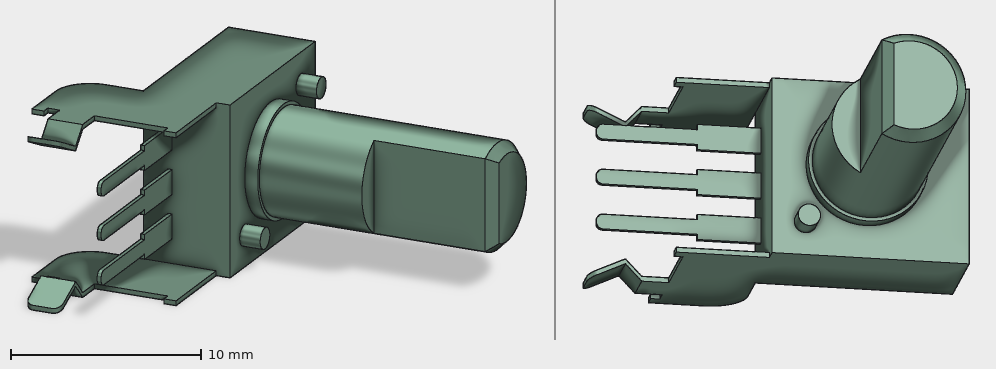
import cadquery as cq

HOUSING_DEPTH = 5.04
HOUSING_LENGTH = 10.53
HOUSING_HEIGHT = 9.7
BOTTOM_Y = -HOUSING_LENGTH / 2
OVERALL_LENGTH = 19.3
TIP_Y = HOUSING_LENGTH / 2 - OVERALL_LENGTH

SHAFT_Y = -0.25
SHAFT_Z = 0.14
SHAFT_DIAMETER = 6.0
SHAFT_REACH = 13.72
TIP_CHAMFER = 0.55
FLAT_LENGTH = 7.0
FLAT_OFFSET = 1.49
COLLAR_DIAMETER = 6.4
COLLAR_LENGTH = 0.75
PIN_DIAMETER = 1.2
PIN_LENGTH = 1.2
PIN_Y = 3.48
PIN_Z = 3.05

SHEET = 0.27
OVERALL_WIDTH = 22.9
PLATE_LEFT = SHAFT_REACH - OVERALL_WIDTH
PLATE_RIGHT = -0.8
PLATE_CORNER = 2.0
PLATE_DROP = 4.49
FOOT_DROP = 0.48
FOOT_WIDTH = 0.7
TAB_OFFSET = 1.4
TAB_WIDTH = 2.02
BEND_START = 5.93
BEND_VALLEY = 6.8
BEND_DEPTH = 0.92
TAB_CORNER = 0.45

TERMINAL_COUNT = 3
TERMINAL_PITCH = 2.5
TERMINAL_X = -3.48
TERMINAL_THICKNESS = 0.23
WIDE_LENGTH = 3.4
WIDE_WIDTH = 1.4
NARROW_WIDTH = 0.82
TERMINAL_CORNER = 0.35


def rod(diameter, length, y, z):
    """Cylinder standing on the mounting face."""
    return cq.Workplane("YZ").center(y, z).circle(diameter / 2).extrude(length)


def make_housing():
    return cq.Workplane("XY").box(HOUSING_DEPTH, HOUSING_LENGTH, HOUSING_HEIGHT).translate(
        (-HOUSING_DEPTH / 2, 0, 0)
    )


def make_shaft():
    shaft = rod(SHAFT_DIAMETER, SHAFT_REACH, SHAFT_Y, SHAFT_Z)
    flat_cut = (
        cq.Workplane("XY")
        .box(FLAT_LENGTH, SHAFT_DIAMETER, SHAFT_DIAMETER)
        .translate(
            (
                SHAFT_REACH - FLAT_LENGTH / 2,
                SHAFT_Y - FLAT_OFFSET - SHAFT_DIAMETER / 2,
                SHAFT_Z,
            )
        )
    )
    return shaft.cut(flat_cut).faces(">X").chamfer(TIP_CHAMFER)


def make_upper_plate():
    plate_edge = BOTTOM_Y - PLATE_DROP
    foot_edge = plate_edge - FOOT_DROP
    top = HOUSING_HEIGHT / 2
    tab_left = PLATE_LEFT + TAB_OFFSET
    tab_center = tab_left + TAB_WIDTH / 2

    plate = (
        cq.Workplane("XY", origin=(0, 0, top - SHEET))
        .moveTo(PLATE_LEFT, foot_edge)
        .lineTo(PLATE_LEFT, BOTTOM_Y - PLATE_CORNER)
        .radiusArc((PLATE_LEFT + PLATE_CORNER, BOTTOM_Y), PLATE_CORNER)
        .lineTo(PLATE_RIGHT, BOTTOM_Y)
        .lineTo(PLATE_RIGHT, foot_edge)
        .lineTo(PLATE_RIGHT - FOOT_WIDTH, foot_edge)
        .lineTo(PLATE_RIGHT - FOOT_WIDTH, plate_edge)
        .lineTo(PLATE_LEFT + FOOT_WIDTH, plate_edge)
        .lineTo(PLATE_LEFT + FOOT_WIDTH, foot_edge)
        .close()
        .extrude(SHEET)
    )

    bend_y = BOTTOM_Y - BEND_START
    valley_y = BOTTOM_Y - BEND_VALLEY
    strip = (
        cq.Workplane("YZ", origin=(tab_left, 0, 0))
        .moveTo(plate_edge, top)
        .lineTo(bend_y, top)
        .lineTo(valley_y, top - BEND_DEPTH)
        .lineTo(TIP_Y, top)
        .lineTo(TIP_Y, top - SHEET)
        .lineTo(valley_y, top - BEND_DEPTH - SHEET)
        .lineTo(bend_y, top - SHEET)
        .lineTo(plate_edge, top - SHEET)
        .close()
        .extrude(TAB_WIDTH)
    )
    tab_length = plate_edge - TIP_Y
    rounded_prism = (
        cq.Workplane("XY")
        .box(TAB_WIDTH, tab_length, HOUSING_HEIGHT)
        .edges("|Z and <Y")
        .fillet(TAB_CORNER)
        .translate((tab_center, TIP_Y + tab_length / 2, 0))
    )
    return plate.union(strip.intersect(rounded_prism))


def make_terminal(z):
    blade_length = BOTTOM_Y - TIP_Y
    base = cq.Workplane("XY").box(TERMINAL_THICKNESS, WIDE_LENGTH, WIDE_WIDTH).translate(
        (TERMINAL_X, BOTTOM_Y - WIDE_LENGTH / 2, z)
    )
    blade = (
        cq.Workplane("XY")
        .box(TERMINAL_THICKNESS, blade_length, NARROW_WIDTH)
        .edges("|X and <Y")
        .fillet(TERMINAL_CORNER)
        .translate((TERMINAL_X, BOTTOM_Y - blade_length / 2, z))
    )
    return base.union(blade)


result = make_housing().union(make_shaft())
result = result.union(rod(COLLAR_DIAMETER, COLLAR_LENGTH, SHAFT_Y, SHAFT_Z))

for side in (1, -1):
    result = result.union(rod(PIN_DIAMETER, PIN_LENGTH, side * PIN_Y, side * PIN_Z))

upper_plate = make_upper_plate()
result = result.union(upper_plate).union(upper_plate.mirror("XY"))

for index in range(TERMINAL_COUNT):
    terminal_z = (index - (TERMINAL_COUNT - 1) / 2) * TERMINAL_PITCH
    result = result.union(make_terminal(terminal_z))